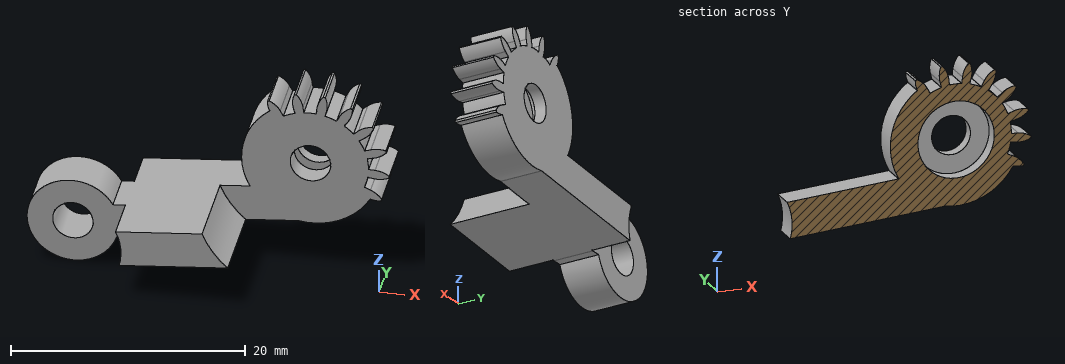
import cadquery as cq
import math

total_depth = 12.15
bore_diameter = 3.5

eye_radius = 4.0
eye_rear = 3.85
eye_depth = 3.93

gear_x = 19.9
gear_z = 5.9
gear_depth = 4.18
gear_radius = 6.0
root_radius = 5.05
tip_radius = 6.85
tooth_places = 17
tooth_count = 8
tooth_pitch = 360 / tooth_places
first_tooth_angle = -26.0
flank_radius = 6.2
flank_start_radius = 5.6
root_half_width = 0.4
flank_start_half_width = 0.43
flank_half_width = 0.37
tip_half_width = 0.1
tooth_root_overlap = 0.3

recess_rear = 1.15
recess_depth = 1.23
recess_radius = 3.45

arm_angle = 5.2
arm_slope = math.tan(math.radians(arm_angle))
arm_top_at_eye = 1.65
arm_bottom_at_eye = -1.72
tab_bottom = -1.3
tab_end = (tab_bottom - arm_bottom_at_eye) / arm_slope

block_eye_clearance_radius = 5.0
block_gear_clearance_radius = 8.45


def sketch_plane(rear, x=0, z=0):
    """XZ plane at a layer's rear face; extrusions from it run toward -Y."""
    return cq.Workplane("XZ", origin=(x, -rear, z))


def cylinder(x, z, radius, rear, depth):
    return sketch_plane(rear, x, z).circle(radius).extrude(depth)


def arm_strip(end_x, rear, depth):
    """Sloping bar from the eye axis to end_x, with a level underside near the eye."""
    rise = arm_slope * end_x
    outline = [
        (0, arm_top_at_eye),
        (0, tab_bottom),
        (tab_end, tab_bottom),
        (end_x, arm_bottom_at_eye + rise),
        (end_x, arm_top_at_eye + rise),
    ]
    return sketch_plane(rear).polyline(outline).close().extrude(depth)


def tooth(angle):
    """One pointed tooth with straight lower flanks and curved upper flanks.

    The angle is measured from +X toward +Z.
    """
    base = root_radius - tooth_root_overlap
    profile = (
        sketch_plane(0, gear_x, gear_z)
        .moveTo(base, -root_half_width)
        .lineTo(root_radius, -root_half_width)
        .lineTo(flank_start_radius, -flank_start_half_width)
        .threePointArc((flank_radius, -flank_half_width), (tip_radius, -tip_half_width))
        .lineTo(tip_radius, tip_half_width)
        .threePointArc((flank_radius, flank_half_width), (flank_start_radius, flank_start_half_width))
        .lineTo(root_radius, root_half_width)
        .lineTo(base, root_half_width)
        .close()
    )
    axis_start = (gear_x, 0, gear_z)
    axis_end = (gear_x, -1, gear_z)
    return profile.extrude(gear_depth).rotate(axis_start, axis_end, angle)


def gear_body():
    """Full disc, lowered to the root radius between the first and last tooth."""
    disc = cylinder(gear_x, gear_z, gear_radius, 0, gear_depth)
    last_tooth_angle = first_tooth_angle + (tooth_count - 1) * tooth_pitch
    middle_angle = (first_tooth_angle + last_tooth_angle) / 2
    zone_radius = 2 * gear_radius

    def zone_point(angle):
        radians = math.radians(angle)
        return (zone_radius * math.cos(radians), zone_radius * math.sin(radians))

    toothed_zone = (
        sketch_plane(0, gear_x, gear_z)
        .lineTo(*zone_point(first_tooth_angle))
        .threePointArc(zone_point(middle_angle), zone_point(last_tooth_angle))
        .close()
        .extrude(gear_depth)
    )
    core = cylinder(gear_x, gear_z, root_radius, 0, gear_depth)
    body = disc.cut(toothed_zone).union(core)
    for index in range(tooth_count):
        body = body.union(tooth(first_tooth_angle + index * tooth_pitch))
    return body


def wide_block():
    strip = arm_strip(gear_x, 0, total_depth)
    eye_clearance = cylinder(0, 0, block_eye_clearance_radius, 0, total_depth)
    gear_clearance = cylinder(gear_x, gear_z, block_gear_clearance_radius, 0, total_depth)
    return strip.cut(eye_clearance).cut(gear_clearance)


block = wide_block()
eye = cylinder(0, 0, eye_radius, eye_rear, eye_depth)
eye_tab = arm_strip(gear_x / 2, eye_rear, eye_depth)
gear_link = arm_strip(gear_x, 0, gear_depth).cut(
    cylinder(0, 0, block_eye_clearance_radius, 0, gear_depth)
)
eye_bore = cylinder(0, 0, bore_diameter / 2, 0, total_depth)
gear_bore = cylinder(gear_x, gear_z, bore_diameter / 2, 0, total_depth)
gear_recess = cylinder(gear_x, gear_z, recess_radius, recess_rear, recess_depth)

result = block.union(eye).union(eye_tab).union(gear_link).union(gear_body())
result = result.cut(eye_bore).cut(gear_bore).cut(gear_recess)